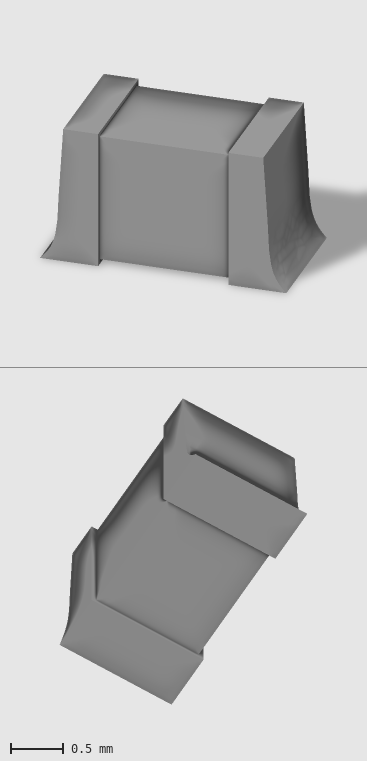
import cadquery as cq

overall_length = 2.46
height = 1.4
width = 1.25

chip_length = 2.0
cap_length = 0.35
cap_step_y = 0.055
cap_step_z = 0.05

fillet_reach = (overall_length - chip_length) / 2
fillet_knee_reach = 0.108
fillet_knee_height = 0.177
fillet_flank_reach = 0.052
fillet_flank_height = 0.54
fillet_toe_slope = 1.0
fillet_crest_slope = 16.0


def make_ceramic():
    """Plain block between the caps, inset from them on all four long sides."""
    return cq.Workplane("XY").box(
        chip_length - 2 * cap_length, width - 2 * cap_step_y, height - 2 * cap_step_z
    ).translate((0, 0, height / 2))


def make_cap(side):
    """Metal end cap; side is -1 for the -X end and +1 for the +X end."""
    return cq.Workplane("XY").box(cap_length, width, height).translate(
        (side * (chip_length - cap_length) / 2, 0, height / 2)
    )


def make_solder_fillet(side):
    """Concave solder wedge against the outer face of a cap."""
    face_x = side * chip_length / 2
    knee = (face_x + side * fillet_knee_reach, fillet_knee_height)
    flank = (face_x + side * fillet_flank_reach, fillet_flank_height)
    crest = (face_x, height)
    return (
        cq.Workplane("XZ", origin=(0, width / 2, 0))
        .moveTo(face_x, 0)
        .lineTo(face_x + side * fillet_reach, 0)
        .spline(
            [knee, flank, crest],
            tangents=[(-side, fillet_toe_slope), (-side, fillet_crest_slope)],
            includeCurrent=True,
        )
        .close()
        .extrude(width)
    )


ceramic = make_ceramic()
caps = [make_cap(side).val() for side in (-1, 1)]
solder_fillets = [make_solder_fillet(side).val() for side in (-1, 1)]

result = cq.Compound.makeCompound([ceramic.val(), *caps, *solder_fillets])